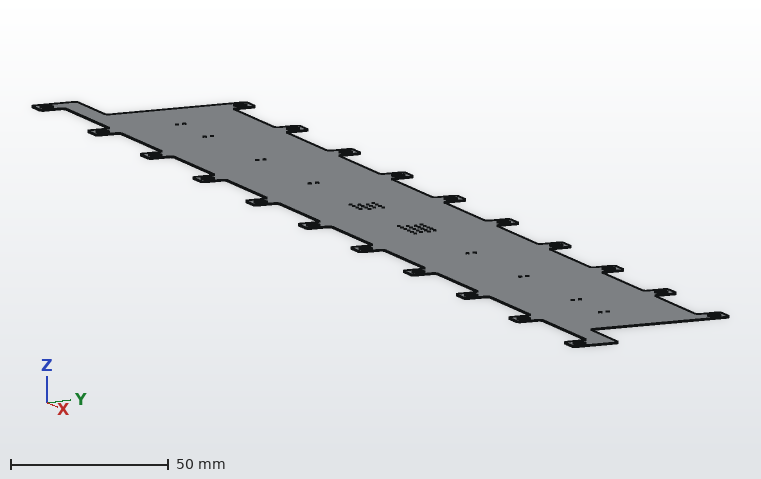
import cadquery as cq

THICKNESS = 0.41
LENGTH = 417.32
WIDTH = 64.52
OUTER_RADIUS = 1.2
INNER_RADIUS = 1.38

TAB_WIDTH = 7.545
TAB_DEPTH = 8.2
TAB_PITCH = 40.5
UPPER_TAB_SHIFT = 0.04
UPPER_TAB_COUNT = 10
LOWER_TAB_COUNT = 9
SCREW_HOLE_DIAMETER = 4.1
SCREW_HOLE_INSET = TAB_WIDTH / 2

PANEL_LENGTH = (UPPER_TAB_COUNT - 1) * TAB_PITCH + TAB_WIDTH
PANEL_WIDTH = WIDTH - 2 * TAB_DEPTH
ARM_WIDTH = 7.62

LEAD_HOLE_DIAMETER = 0.9
LEAD_HOLE_PITCH = 2.54
LEAD_PAIR_TOP_Y = 0.2
LEAD_PAIR_CENTRE_X = 0.15
LEAD_PAIR_PITCH = 40.45
INNER_PAIR_STEPS = (1.5, 2.5, 3.5)
OUTER_PAIR_OFFSET = 162.85

PIN_HOLE_DIAMETER = 0.7
PIN_PITCH = 2.54
PIN_STAGGER = PIN_PITCH / 4
CONNECTOR_TOP_Y = 3.2
SMALL_CONNECTOR_X = -20.08
LARGE_CONNECTOR_X = 18.9
SMALL_CONNECTOR_ROWS = ((4, 0), (3, 0), (4, PIN_STAGGER), (4, -PIN_STAGGER))
LARGE_CONNECTOR_ROWS = ((5, -PIN_STAGGER), (5, PIN_STAGGER), (5, 0), (6, 0))


def centred_positions(count, pitch):
    """Evenly spaced coordinates centred on zero."""
    return [(i - (count - 1) / 2) * pitch for i in range(count)]


def block(x_size, y_size, x_centre, y_bottom):
    """A rectangle of sheet, centred on x_centre and standing on y_bottom."""
    return (
        cq.Workplane("XY")
        .center(x_centre, y_bottom + y_size / 2)
        .rect(x_size, y_size)
        .extrude(THICKNESS)
    )


def upper_tab_positions():
    return [UPPER_TAB_SHIFT + x for x in centred_positions(UPPER_TAB_COUNT, TAB_PITCH)]


def lower_tab_positions():
    end_tab_x = (LENGTH - TAB_WIDTH) / 2
    return [-end_tab_x, *centred_positions(LOWER_TAB_COUNT, TAB_PITCH), end_tab_x]


def is_inner_corner(edge):
    """True for upright edges where a tab meets the panel or an arm meets the panel's end."""
    corner = edge.Center()
    on_arm_tip = abs(corner.x) > (LENGTH - TAB_WIDTH) / 2
    return abs(corner.y) < WIDTH / 2 - TAB_DEPTH / 2 and not on_arm_tip


def make_sheet():
    """Panel, end arms and tabs joined into one flat sheet with rounded corners."""
    panel_bottom = -PANEL_WIDTH / 2
    sheet = block(PANEL_LENGTH, PANEL_WIDTH, UPPER_TAB_SHIFT, panel_bottom)
    sheet = sheet.union(block(LENGTH, ARM_WIDTH, 0, panel_bottom))
    for x in upper_tab_positions():
        sheet = sheet.union(block(TAB_WIDTH, 2 * TAB_DEPTH, x, WIDTH / 2 - 2 * TAB_DEPTH))
    for x in lower_tab_positions():
        sheet = sheet.union(block(TAB_WIDTH, TAB_DEPTH + ARM_WIDTH, x, -WIDTH / 2))
    sheet = sheet.clean()
    outline = sheet.edges("|Z").vals()
    inner = [edge for edge in outline if is_inner_corner(edge)]
    outer = [edge for edge in outline if not is_inner_corner(edge)]
    return sheet.newObject(outer).fillet(OUTER_RADIUS).newObject(inner).fillet(INNER_RADIUS)


def drill(sheet, points, diameter):
    """Cut a through hole of the given diameter at every point."""
    cutter = cq.Workplane("XY").pushPoints(points).circle(diameter / 2).extrude(THICKNESS)
    return sheet.cut(cutter)


def screw_hole_points():
    hole_y = WIDTH / 2 - SCREW_HOLE_INSET
    upper = [(x, hole_y) for x in upper_tab_positions()]
    lower = [(x, -hole_y) for x in lower_tab_positions()]
    return upper + lower


def lead_hole_points():
    offsets = [step * LEAD_PAIR_PITCH for step in INNER_PAIR_STEPS] + [OUTER_PAIR_OFFSET]
    rows = (LEAD_PAIR_TOP_Y, LEAD_PAIR_TOP_Y - LEAD_HOLE_PITCH)
    return [
        (LEAD_PAIR_CENTRE_X + side * offset, y)
        for side in (-1, 1)
        for offset in offsets
        for y in rows
    ]


def connector_points(centre_x, rows):
    return [
        (centre_x + shift + x, CONNECTOR_TOP_Y - row * PIN_PITCH)
        for row, (count, shift) in enumerate(rows)
        for x in centred_positions(count, PIN_PITCH)
    ]


result = make_sheet()
result = drill(result, screw_hole_points(), SCREW_HOLE_DIAMETER)
result = drill(result, lead_hole_points(), LEAD_HOLE_DIAMETER)
result = drill(result, connector_points(SMALL_CONNECTOR_X, SMALL_CONNECTOR_ROWS), PIN_HOLE_DIAMETER)
result = drill(result, connector_points(LARGE_CONNECTOR_X, LARGE_CONNECTOR_ROWS), PIN_HOLE_DIAMETER)